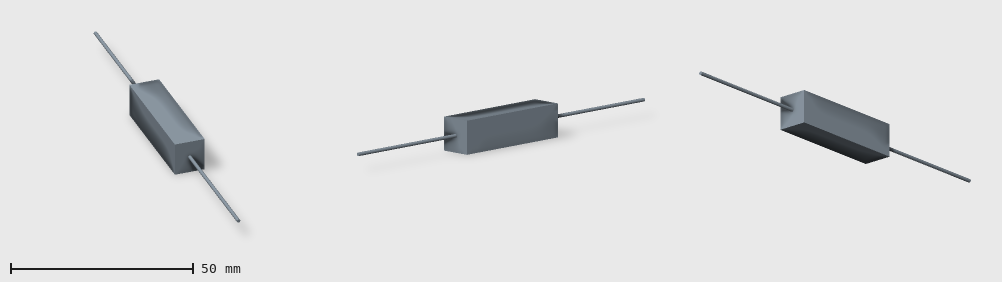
import cadquery as cq

overall_length = 111.5

body_length = 35.5
body_width = 8.7
body_height = 9.5

lead_diameter = 1.0


def make_body():
    """Block centred on the lead axis."""
    return cq.Workplane("XY").box(body_length, body_width, body_height)


def make_leads():
    """One round wire along X, showing as a lead at each end of the body."""
    return cq.Workplane("YZ").circle(lead_diameter / 2).extrude(overall_length / 2, both=True)


result = make_body().union(make_leads())